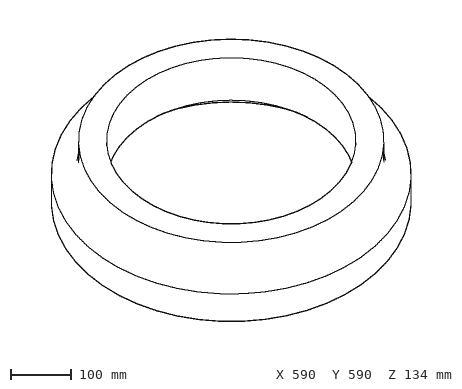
import cadquery as cq
import math

flange_radius = 295.0
flange_height = 61.0
total_height = 134.0

hub_radius = 250.0
hub_straight_height = 40.0
fillet_radius = 11.0
fillet_outer_radius = 265.0

bore_radius = 204.0
flare_height = 41.0
flare_radius = bore_radius + flare_height

taper_top = total_height - hub_straight_height

fillet_center_z = flange_height + fillet_radius
center_run = fillet_outer_radius - hub_radius
center_drop = taper_top - fillet_center_z
center_distance = math.hypot(center_run, center_drop)
taper_angle = math.atan2(center_run, center_drop) - math.asin(fillet_radius / center_distance)
fillet_top_radius = fillet_outer_radius - fillet_radius * math.cos(taper_angle)
fillet_top_z = fillet_center_z - fillet_radius * math.sin(taper_angle)
mid_angle = (math.pi / 2 + taper_angle) / 2
fillet_mid_radius = fillet_outer_radius - fillet_radius * math.cos(mid_angle)
fillet_mid_z = fillet_center_z - fillet_radius * math.sin(mid_angle)

section = (
    cq.Workplane("XZ")
    .moveTo(flare_radius, 0)
    .lineTo(flange_radius, 0)
    .lineTo(flange_radius, flange_height)
    .lineTo(fillet_outer_radius, flange_height)
    .threePointArc((fillet_mid_radius, fillet_mid_z), (fillet_top_radius, fillet_top_z))
    .lineTo(hub_radius, taper_top)
    .lineTo(hub_radius, total_height)
    .lineTo(bore_radius, total_height)
    .lineTo(bore_radius, flare_height)
    .close()
)
result = section.revolve(360, (0, 0, 0), (0, 1, 0))